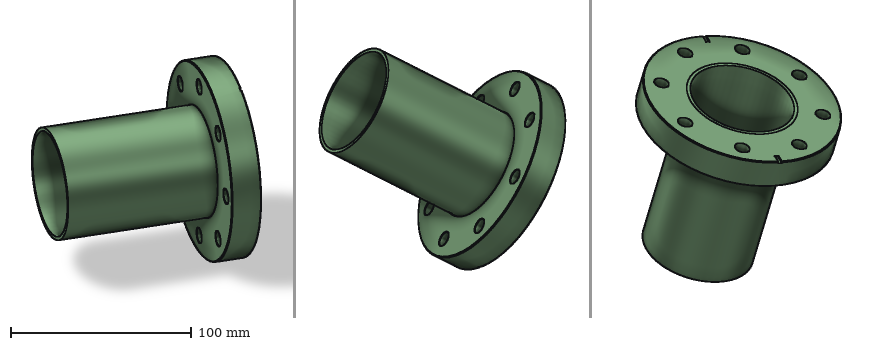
import cadquery as cq

flange_diameter = 113.5
flange_thickness = 17.5
flange_edge_chamfer = 0.6
overall_length = 104.8

tube_outer_diameter = 63.5
tube_wall = 2.0
tube_inner_diameter = tube_outer_diameter - 2 * tube_wall

bolt_count = 8
bolt_circle_diameter = 92.2
bolt_hole_diameter = 8.4
bolt_hole_chamfer = 0.28

bore_chamfer = 0.3

groove_width = 2.3
groove_depth = 0.9
groove_length = 5.7
groove_angles = (67.5, 247.5)


def disc(diameter, length):
    """Solid cylinder reaching from Y = 0 toward -Y."""
    return cq.Workplane("XZ").circle(diameter / 2).extrude(length)


def flared_hole(diameter, chamfer):
    """Cutter for a hole through the flange that widens at 45 degrees at the front face."""
    radius = diameter / 2
    return (
        cq.Workplane("XY")
        .moveTo(0, 0)
        .lineTo(radius, 0)
        .lineTo(radius, chamfer - flange_thickness)
        .lineTo(radius + chamfer, -flange_thickness)
        .lineTo(0, -flange_thickness)
        .close()
        .revolve(360, (0, 0, 0), (0, 1, 0))
    )


def make_groove(angle):
    """Cutter for a shallow groove in the back face, turned about Y to its place on the rim."""
    groove = cq.Workplane("XY").box(groove_length, groove_depth, groove_width)
    groove = groove.translate(((flange_diameter - groove_length) / 2, -groove_depth / 2, 0))
    return groove.rotate((0, 0, 0), (0, 1, 0), -angle)


def make_flange():
    """Bolted ring with chamfered rims and hole mouths, bored to fit the tube."""
    ring = disc(flange_diameter, flange_thickness).edges().chamfer(flange_edge_chamfer)
    ring = ring.cut(flared_hole(tube_outer_diameter, bore_chamfer))

    bolt_hole = flared_hole(bolt_hole_diameter, bolt_hole_chamfer)
    bolt_hole = bolt_hole.translate((bolt_circle_diameter / 2, 0, 0))
    for index in range(bolt_count):
        ring = ring.cut(bolt_hole.rotate((0, 0, 0), (0, 1, 0), index * 360 / bolt_count))

    for angle in groove_angles:
        ring = ring.cut(make_groove(angle))
    return ring


def make_tube():
    """Plain tube that passes through the flange to its back face."""
    return disc(tube_outer_diameter, overall_length).cut(disc(tube_inner_diameter, overall_length))


flange = make_flange()
tube = make_tube()

result = cq.Compound.makeCompound([flange.val(), tube.val()])